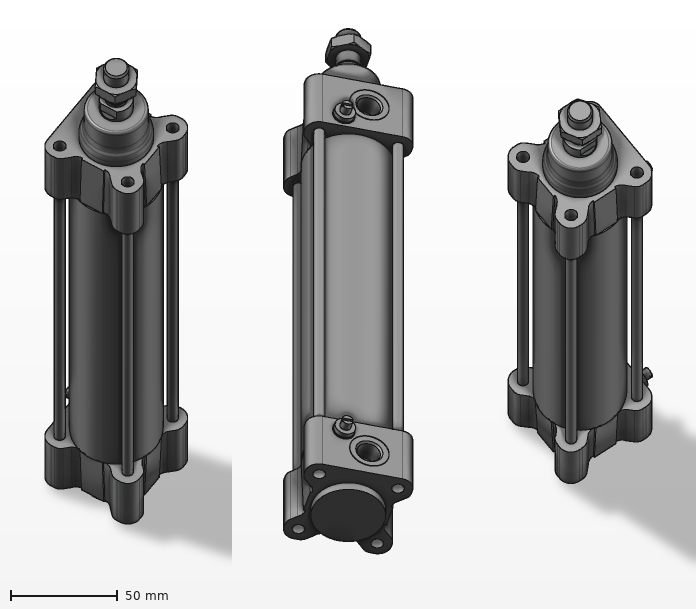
import cadquery as cq
import math


TOTAL_HEIGHT = 313.0
CAP_HEIGHT = 31.3
REAR_CAP_BOTTOM = 4.5
REAR_CAP_TOP = REAR_CAP_BOTTOM + CAP_HEIGHT
FRONT_CAP_TOP = 259.2
FRONT_CAP_BOTTOM = FRONT_CAP_TOP - CAP_HEIGHT
MID_HEIGHT = (REAR_CAP_BOTTOM + FRONT_CAP_TOP) / 2
COLLAR_TOP = 281.5

CAP_HALF = 26.0
CORNER_RADIUS = 6.5
LOBE_FLAT_END = 17.5
LOBE_RADIUS = 5.3
NECK_HALF = 11.0
PAD_HALF = 6.3
PAD_OUTER_LEVEL = 20.0
PAD_INNER_LEVEL = 21.3
GROOVE_STEP = 1.0

TUBE_DIAMETER = 44.0
TIE_ROD_DIAMETER = 5.3
TIE_ROD_OFFSET = 19.0
SCREW_HOLE_DIAMETER = 6.0
SCREW_HOLE_DEPTH = 12.5

SPIGOT_DIAMETER = 35.0
COLLAR_DIAMETER = 30.0
COLLAR_CONE_TOP = 268.5
COLLAR_CONE_BOTTOM = 264.2
COLLAR_CONE_FILLET = 6.0
CONE_MARGIN = 1.5
COLLAR_TOP_FILLET = 1.5

PORT_Y = -3.5
PORT_Z = 244.8
PORT_DIAMETER = 11.3
PORT_DEPTH = 11.0
PORT_MOUTH_DIAMETER = 13.0
PORT_SEAT_DIAMETER = 19.0
PORT_SEAT_DEPTH = 0.3
FITTING_Y = 9.0
FITTING_Z = 234.8
FITTING_REACH = 33.5
FITTING_BASE_DIAMETER = 10.5
FITTING_BASE_REACH = 26.5
FITTING_RING_DIAMETER = 10.0
FITTING_RING_REACH = 29.0
FITTING_TIP_DIAMETER = 5.3
FITTING_SLOT_WIDTH = 1.3
FITTING_SLOT_DEPTH = 1.3

ROD_DIAMETER = 16.0
ROD_TOP = 289.0
ROD_FLATS_WIDTH = 13.0
ROD_FLATS_BOTTOM = 282.3
FLAT_RUNOUT = (ROD_DIAMETER - ROD_FLATS_WIDTH) / 2
RELIEF_DIAMETER = 10.5
THREAD_BOTTOM = 291.7
THREAD_DIAMETER = 12.0
THREAD_CHAMFER_HEIGHT = 1.3
THREAD_CHAMFER_WIDTH = 0.78

NUT_BOTTOM = 298.3
NUT_HEIGHT = 6.5
NUT_WIDTH = 19.0
NUT_FACE_DIAMETER = 19.7
NUT_CHAMFER_ANGLE = math.radians(30)


def cylinder(diameter, bottom, top):
    """Upright cylinder on the rod axis."""
    return cq.Workplane("XY").workplane(offset=bottom).circle(diameter / 2).extrude(top - bottom)


def side_cylinder(diameter, y, z, reach, depth):
    """Cylinder along X whose -X end lies at x = -reach."""
    plane = cq.Plane(origin=(-reach, y, z), xDir=(0, 1, 0), normal=(1, 0, 0))
    return cq.Workplane(plane).circle(diameter / 2).extrude(depth)


DIAGONAL = math.sqrt(0.5)
FLANK_TOP_X = LOBE_FLAT_END - LOBE_RADIUS * DIAGONAL
FLANK_TOP_Y = CAP_HALF - LOBE_RADIUS * (1 - DIAGONAL)
NECK_LEVEL = FLANK_TOP_Y - (FLANK_TOP_X - NECK_HALF)
LOBE_MID_X = LOBE_FLAT_END - LOBE_RADIUS * math.sin(math.pi / 8)
LOBE_MID_Y = CAP_HALF - LOBE_RADIUS * (1 - math.cos(math.pi / 8))


def neck_gap():
    """Full-height gap between two lobes on the +Y side of a cap."""
    return (
        cq.Workplane("XY")
        .moveTo(-NECK_HALF, NECK_LEVEL)
        .lineTo(-FLANK_TOP_X, FLANK_TOP_Y)
        .threePointArc((-LOBE_MID_X, LOBE_MID_Y), (-LOBE_FLAT_END, CAP_HALF))
        .lineTo(LOBE_FLAT_END, CAP_HALF)
        .threePointArc((LOBE_MID_X, LOBE_MID_Y), (FLANK_TOP_X, FLANK_TOP_Y))
        .lineTo(NECK_HALF, NECK_LEVEL)
        .close()
        .extrude(CAP_HEIGHT)
    )


def waist_section(plane, pad_level):
    """Outline of the waist recess: a pad in the middle with a hollow groove on each side."""
    groove_level = pad_level - GROOVE_STEP
    drop = NECK_LEVEL - groove_level
    run = NECK_HALF - PAD_HALF
    radius = (run**2 + drop**2) / (2 * drop)
    half_angle = math.asin(run / radius) / 2
    mid_x = PAD_HALF + radius * math.sin(half_angle)
    mid_y = groove_level + radius * (1 - math.cos(half_angle))
    return (
        plane.moveTo(-NECK_HALF, NECK_LEVEL)
        .threePointArc((-mid_x, mid_y), (-PAD_HALF, groove_level))
        .lineTo(-PAD_HALF, pad_level)
        .lineTo(PAD_HALF, pad_level)
        .lineTo(PAD_HALF, groove_level)
        .threePointArc((mid_x, mid_y), (NECK_HALF, NECK_LEVEL))
        .lineTo(NECK_HALF, CAP_HALF)
        .lineTo(-NECK_HALF, CAP_HALF)
        .close()
    )


def drafted_waist():
    """Waist recess on the +Y side, deeper at the outer end of the cap than at the tube."""
    inner = waist_section(cq.Workplane("XY"), PAD_INNER_LEVEL)
    outer = waist_section(inner.workplane(offset=CAP_HEIGHT), PAD_OUTER_LEVEL)
    return outer.loft(ruled=True, combine=True)


def fitting_step(diameter, reach):
    """Round step of the fitting, from the flat cap side out to x = -reach."""
    return side_cylinder(diameter, FITTING_Y, FITTING_Z, reach, reach - CAP_HALF)


def fitting():
    """Stepped cushion screw with a driver slot across its tip."""
    base = fitting_step(FITTING_BASE_DIAMETER, FITTING_BASE_REACH)
    ring = fitting_step(FITTING_RING_DIAMETER, FITTING_RING_REACH)
    tip = fitting_step(FITTING_TIP_DIAMETER, FITTING_REACH)
    slot = cq.Workplane("XY").box(
        2 * FITTING_SLOT_DEPTH, FITTING_TIP_DIAMETER, FITTING_SLOT_WIDTH
    ).translate((-FITTING_REACH, FITTING_Y, FITTING_Z))
    return base.union(ring).union(tip).cut(slot)


def port():
    """Blind air port with a chamfered mouth and a shallow seat."""
    seat = side_cylinder(PORT_SEAT_DIAMETER, PORT_Y, PORT_Z, CAP_HALF, PORT_SEAT_DEPTH)
    bore = side_cylinder(PORT_DIAMETER, PORT_Y, PORT_Z, CAP_HALF, PORT_DEPTH)
    mouth_depth = (PORT_MOUTH_DIAMETER - PORT_DIAMETER) / 2
    seat_plane = cq.Plane(
        origin=(PORT_SEAT_DEPTH - CAP_HALF, PORT_Y, PORT_Z), xDir=(0, 1, 0), normal=(1, 0, 0)
    )
    mouth = cq.Workplane(seat_plane).circle(PORT_MOUTH_DIAMETER / 2).extrude(mouth_depth, taper=45)
    return seat.union(bore).union(mouth)


def front_cap():
    """Rounded square cap with lobed corners, screw holes, air port and fitting."""
    cap = (
        cq.Workplane("XY")
        .rect(2 * CAP_HALF, 2 * CAP_HALF)
        .extrude(CAP_HEIGHT)
        .edges("|Z")
        .fillet(CORNER_RADIUS)
    )
    for angle in (0, -90, 180):
        cap = cap.cut(neck_gap().rotate((0, 0, 0), (0, 0, 1), angle))
        cap = cap.cut(drafted_waist().rotate((0, 0, 0), (0, 0, 1), angle))
    cap = (
        cap.faces(">Z")
        .workplane(origin=(0, 0, CAP_HEIGHT))
        .rect(2 * TIE_ROD_OFFSET, 2 * TIE_ROD_OFFSET, forConstruction=True)
        .vertices()
        .hole(SCREW_HOLE_DIAMETER, SCREW_HOLE_DEPTH)
    )
    cap = cap.translate((0, 0, FRONT_CAP_BOTTOM))
    return cap.cut(port()).union(fitting())


def collar():
    """Guide collar on the front cap, with a blended cone."""
    body = (
        cq.Workplane("XZ")
        .moveTo(0, FRONT_CAP_TOP)
        .lineTo(SPIGOT_DIAMETER / 2, FRONT_CAP_TOP)
        .lineTo(SPIGOT_DIAMETER / 2, COLLAR_CONE_BOTTOM)
        .lineTo(COLLAR_DIAMETER / 2, COLLAR_CONE_TOP)
        .lineTo(COLLAR_DIAMETER / 2, COLLAR_TOP)
        .lineTo(0, COLLAR_TOP)
        .close()
        .revolve(360, (0, 0, 0), (0, 1, 0))
    )
    cone_edges = cq.selectors.BoxSelector(
        (-CAP_HALF, -CAP_HALF, FRONT_CAP_TOP + CONE_MARGIN),
        (CAP_HALF, CAP_HALF, COLLAR_TOP - CONE_MARGIN),
    )
    body = body.edges(cone_edges).edges("%CIRCLE").fillet(COLLAR_CONE_FILLET)
    return body.faces(">Z").edges().fillet(COLLAR_TOP_FILLET)


def make_housing():
    """Both caps, the tube and tie rods between them, the spigot and the collar."""
    upper_cap = front_cap()
    lower_cap = upper_cap.mirror("XY", (0, 0, MID_HEIGHT))
    housing = upper_cap.union(lower_cap)
    housing = housing.union(cylinder(TUBE_DIAMETER, REAR_CAP_TOP, FRONT_CAP_BOTTOM))
    tie_rods = (
        cq.Workplane("XY")
        .workplane(offset=REAR_CAP_TOP)
        .rect(2 * TIE_ROD_OFFSET, 2 * TIE_ROD_OFFSET, forConstruction=True)
        .vertices()
        .circle(TIE_ROD_DIAMETER / 2)
        .extrude(FRONT_CAP_BOTTOM - REAR_CAP_TOP)
    )
    housing = housing.union(tie_rods)
    housing = housing.union(cylinder(SPIGOT_DIAMETER, 0, REAR_CAP_BOTTOM)).union(collar())
    return housing.cut(cylinder(ROD_DIAMETER, FRONT_CAP_BOTTOM, TOTAL_HEIGHT))


def make_piston_rod():
    """Rod with two wrench flats, a thread relief and a chamfered threaded end."""
    shank = cylinder(ROD_DIAMETER, FRONT_CAP_BOTTOM, ROD_TOP)
    flat = (
        cq.Workplane("YZ")
        .moveTo(ROD_DIAMETER / 2, ROD_FLATS_BOTTOM)
        .lineTo(ROD_FLATS_WIDTH / 2, ROD_FLATS_BOTTOM + FLAT_RUNOUT)
        .lineTo(ROD_FLATS_WIDTH / 2, ROD_TOP)
        .lineTo(ROD_DIAMETER / 2, ROD_TOP)
        .close()
        .extrude(ROD_DIAMETER / 2, both=True)
    )
    shank = shank.cut(flat).cut(flat.mirror("XZ"))
    relief = cylinder(RELIEF_DIAMETER, ROD_TOP, THREAD_BOTTOM)
    thread = cylinder(THREAD_DIAMETER, THREAD_BOTTOM, TOTAL_HEIGHT)
    thread = thread.faces(">Z").chamfer(THREAD_CHAMFER_HEIGHT, THREAD_CHAMFER_WIDTH)
    return shank.union(relief).union(thread)


def make_lock_nut():
    """Hexagonal nut with its corners chamfered at both ends."""
    corner_diameter = NUT_WIDTH / math.cos(math.pi / 6)
    chamfer_width = (corner_diameter - NUT_FACE_DIAMETER) / 2
    chamfer_height = chamfer_width * math.tan(NUT_CHAMFER_ANGLE)
    hexagon = (
        cq.Workplane("XY").workplane(offset=NUT_BOTTOM).polygon(6, corner_diameter).extrude(NUT_HEIGHT)
    )
    rounding = (
        cylinder(corner_diameter, NUT_BOTTOM, NUT_BOTTOM + NUT_HEIGHT)
        .faces(">Z or <Z")
        .chamfer(chamfer_height, chamfer_width)
    )
    return hexagon.intersect(rounding).cut(cylinder(THREAD_DIAMETER, NUT_BOTTOM, TOTAL_HEIGHT))


housing = make_housing()
piston_rod = make_piston_rod()
lock_nut = make_lock_nut()

result = cq.Compound.makeCompound([housing.val(), piston_rod.val(), lock_nut.val()])